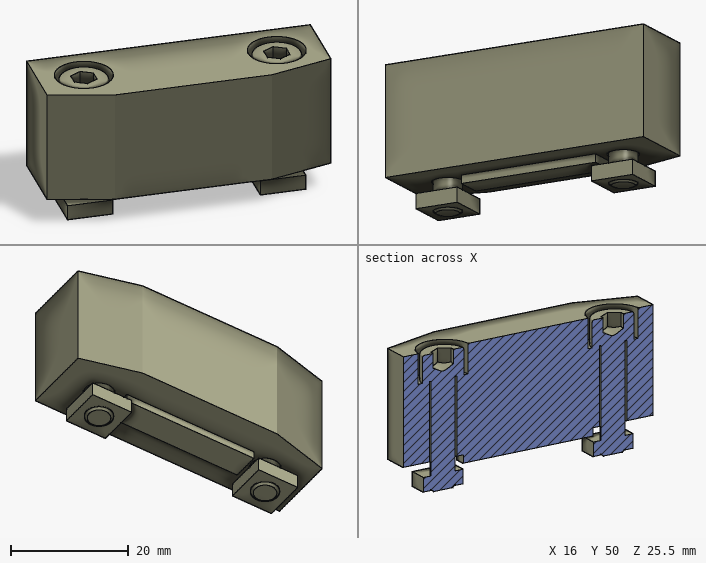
import cadquery as cq
import math

BLOCK_WIDTH = 16.0
BLOCK_LENGTH = 50.0
BLOCK_HEIGHT = 20.0
BEVEL_WIDTH = 3.0
BEVEL_ANGLE = 15.0
BEVEL_LENGTH = BEVEL_WIDTH / math.tan(math.radians(BEVEL_ANGLE))

TONGUE_WIDTH = 5.1
TONGUE_LENGTH = 26.0
TONGUE_DEPTH = 1.5

SCREW_X = 7.5
SCREW_SPACING = 34.0
SCREW_POSITIONS = [(SCREW_X, -SCREW_SPACING / 2), (SCREW_X, SCREW_SPACING / 2)]
CLEARANCE_DIAMETER = 5.5
COUNTERBORE_DIAMETER = 10.0

SHANK_DIAMETER = 5.0
SHANK_LENGTH = 20.0
TIP_CHAMFER = 0.5
HEAD_DIAMETER = 8.5
HEAD_HEIGHT = 5.0
HEAD_FILLET = 0.5
SOCKET_ACROSS_FLATS = 4.0
SOCKET_ACROSS_CORNERS = SOCKET_ACROSS_FLATS / math.cos(math.radians(30))
SOCKET_DEPTH = 2.5
SOCKET_CONE_ANGLE = 120.0
SCREW_TIP_Z = -5.5
SEAT_Z = SCREW_TIP_Z + SHANK_LENGTH

NUT_WIDTH = 8.0
NUT_HEIGHT = 2.7
NUT_TOP_Z = -2.5


def make_block():
    """Block with two bevelled corners, a tongue underneath and two stepped holes."""
    half_length = BLOCK_LENGTH / 2
    bevel_x = BLOCK_WIDTH - BEVEL_WIDTH
    bevel_y = half_length - BEVEL_LENGTH
    outline = [
        (0, -half_length),
        (bevel_x, -half_length),
        (BLOCK_WIDTH, -bevel_y),
        (BLOCK_WIDTH, bevel_y),
        (bevel_x, half_length),
        (0, half_length),
    ]
    block = cq.Workplane("XY").polyline(outline).close().extrude(BLOCK_HEIGHT)
    tongue = (
        cq.Workplane("XY")
        .box(TONGUE_WIDTH, TONGUE_LENGTH, TONGUE_DEPTH, centered=(True, True, False))
        .translate((SCREW_X, 0, -TONGUE_DEPTH))
    )
    return (
        block.union(tongue)
        .faces(">Z")
        .workplane(origin=(0, 0, BLOCK_HEIGHT))
        .pushPoints(SCREW_POSITIONS)
        .cboreHole(CLEARANCE_DIAMETER, COUNTERBORE_DIAMETER, BLOCK_HEIGHT - SEAT_Z)
    )


def make_socket():
    """Hexagonal recess, corners along x, whose floor is a cone reaching out to the corners."""
    head_top_z = SEAT_Z + HEAD_HEIGHT
    cone_radius = SOCKET_ACROSS_CORNERS / 2
    cone_depth = cone_radius / math.tan(math.radians(SOCKET_CONE_ANGLE / 2))
    total_depth = SOCKET_DEPTH + cone_depth
    hexagon = (
        cq.Workplane("XY", origin=(0, 0, head_top_z - total_depth))
        .polygon(6, SOCKET_ACROSS_CORNERS)
        .extrude(total_depth)
    )
    pointed_bore = (
        cq.Workplane("XZ")
        .moveTo(0, head_top_z)
        .lineTo(cone_radius, head_top_z)
        .lineTo(cone_radius, head_top_z - SOCKET_DEPTH)
        .lineTo(0, head_top_z - total_depth)
        .close()
        .revolve(360, (0, 0, 0), (0, 1, 0))
    )
    return hexagon.intersect(pointed_bore)


def make_screw():
    """Socket head cap screw on the z axis, its head bearing on the counterbore seat."""
    shank = (
        cq.Workplane("XY", origin=(0, 0, SCREW_TIP_Z))
        .circle(SHANK_DIAMETER / 2)
        .extrude(SHANK_LENGTH)
        .faces("<Z")
        .chamfer(TIP_CHAMFER)
    )
    head = (
        cq.Workplane("XY", origin=(0, 0, SEAT_Z))
        .circle(HEAD_DIAMETER / 2)
        .extrude(HEAD_HEIGHT)
        .faces(">Z")
        .edges()
        .fillet(HEAD_FILLET)
    )
    return shank.union(head).cut(make_socket())


def make_nut():
    """Square nut on the z axis, bored to the shank diameter."""
    return (
        cq.Workplane("XY", origin=(0, 0, NUT_TOP_Z - NUT_HEIGHT))
        .rect(NUT_WIDTH, NUT_WIDTH)
        .circle(SHANK_DIAMETER / 2)
        .extrude(NUT_HEIGHT)
    )


result = make_block()
fastener = make_screw().union(make_nut())
for x, y in SCREW_POSITIONS:
    result = result.union(fastener.translate((x, y, 0)))